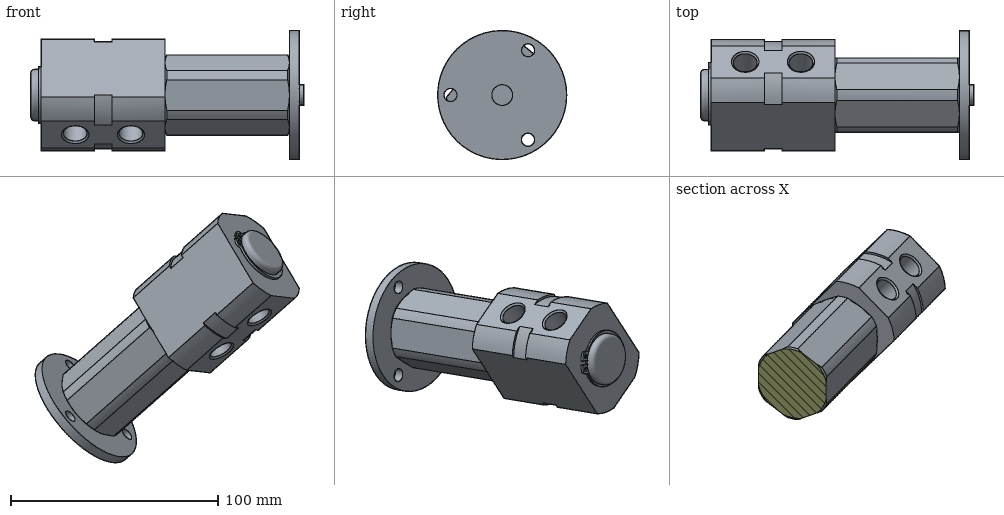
import cadquery as cq
import math


spindle_nose = 5.0
block_length = 59.9
hex_length = 60.0
flange_thickness = 4.9
stub_length = 2.1
block_start = spindle_nose
hex_start = block_start + block_length
flange_start = hex_start + hex_length
stub_start = flange_start + flange_thickness

spindle_diameter = 25.0
nose_fillet = 2.0

ring_thickness = 1.2
ring_bore = 22.8
ring_outer_diameter = 27.6
ring_offset = 0.8
lug_tip_radius = 15.8
lug_half_width = 5.4
lug_corner_radius = 1.7
lug_root_radius = 1.6
lug_gap = 2.0
lug_hole_diameter = 2.0
lug_hole_y = 13.5
lug_hole_z = 3.2
ring_start = block_start - ring_thickness

block_width = 40.0
block_height = 50.0
block_corner_diameter = 54.0
block_tilt = 40
band_width = 8.5
band_diameter = 52.0
port_diameter = 11.5
port_mouth_diameter = 13.2
port_spacing = 26.9
port_mouth_depth = (port_mouth_diameter - port_diameter) / 2
block_middle = block_start + block_length / 2

hex_across_flats = 36.0
hex_corner_diameter = 39.0
hex_sides = 6
hex_half_angle = 180 / hex_sides
hex_chamfer_angle = 30

flange_diameter = 62.5
stub_diameter = 10.0
bolt_circle_radius = 25.0
bolt_hole_diameter = 6.2
bolt_count = 3
first_bolt_angle = 180


def cylinder_x(diameter, start, length):
    """Cylinder on the X axis."""
    return cq.Workplane("YZ", origin=(start, 0, 0)).circle(diameter / 2).extrude(length)


def make_spindle():
    """Round spindle with a rounded nose and a groove for the snap ring."""
    spindle = cylinder_x(spindle_diameter, 0, hex_start).faces("<X").edges().fillet(nose_fillet)
    groove = cylinder_x(spindle_diameter, ring_start, ring_thickness)
    groove = groove.cut(cylinder_x(ring_bore, ring_start, ring_thickness))
    return spindle.cut(groove)


def make_snap_ring():
    """Open eccentric ring with two drilled lugs on the +Y side."""
    plane = cq.Workplane("YZ", origin=(ring_start, 0, 0))
    ring = plane.center(-ring_offset, 0).circle(ring_outer_diameter / 2).extrude(ring_thickness)
    lugs = plane.center(lug_tip_radius / 2, 0).rect(lug_tip_radius, 2 * lug_half_width).extrude(ring_thickness)
    lugs = lugs.intersect(cylinder_x(2 * lug_tip_radius, ring_start, ring_thickness))
    lugs = lugs.edges("|X and (not <Y)").fillet(lug_corner_radius)
    ring = ring.union(lugs)
    root_y = math.sqrt((ring_outer_diameter / 2) ** 2 - lug_half_width**2) - ring_offset
    for z in (lug_half_width, -lug_half_width):
        root = cq.selectors.NearestToPointSelector((ring_start + ring_thickness / 2, root_y, z))
        ring = ring.edges(root).fillet(lug_root_radius)
    gap = plane.center(lug_tip_radius / 2, 0).rect(lug_tip_radius, lug_gap).extrude(ring_thickness)
    lug_holes = (
        plane.pushPoints([(lug_hole_y, lug_hole_z), (lug_hole_y, -lug_hole_z)])
        .circle(lug_hole_diameter / 2)
        .extrude(ring_thickness)
    )
    bore = cylinder_x(ring_bore, ring_start, ring_thickness)
    return ring.cut(bore).cut(gap).cut(lug_holes)


def make_port(x, side):
    """Port cutter from the axis out to the +Z (side 1) or -Z (side -1) face, with a countersunk mouth."""
    face = block_height / 2
    profile = [
        (0, 0),
        (port_diameter / 2, 0),
        (port_diameter / 2, face - port_mouth_depth),
        (port_mouth_diameter / 2, face),
        (0, face),
    ]
    port = cq.Workplane("XZ").polyline(profile).close().revolve(360, (0, 0), (0, 1))
    if side < 0:
        port = port.rotate((0, 0, 0), (1, 0, 0), 180)
    return port.translate((x, 0, 0))


def make_block():
    """Ported block with a spindle bore and a shallow turned band round its corners."""
    block = cq.Workplane("YZ", origin=(block_start, 0, 0)).rect(block_width, block_height).extrude(block_length)
    block = block.intersect(cylinder_x(block_corner_diameter, block_start, block_length))
    band_start = block_middle - band_width / 2
    band = cylinder_x(block_corner_diameter, band_start, band_width)
    band = band.cut(cylinder_x(band_diameter, band_start, band_width))
    block = block.cut(band)
    for x in (block_middle - port_spacing / 2, block_middle + port_spacing / 2):
        for side in (1, -1):
            block = block.cut(make_port(x, side))
    block = block.cut(cylinder_x(spindle_diameter, block_start, block_length))
    return block.rotate((0, 0, 0), (1, 0, 0), -block_tilt)


def make_hex_bar():
    """Hexagonal bar with flats facing +Y and -Y, its corners and ends turned down."""
    corner_radius = hex_corner_diameter / 2
    end_radius = hex_across_flats / 2
    chamfer = (corner_radius - end_radius) * math.tan(math.radians(hex_chamfer_angle))
    across_corners = hex_across_flats / math.cos(math.radians(hex_half_angle))
    bar = cq.Workplane("YZ", origin=(hex_start, 0, 0)).polygon(hex_sides, across_corners).extrude(hex_length)
    bar = bar.rotate((0, 0, 0), (1, 0, 0), hex_half_angle)
    turned_profile = [
        (hex_start, 0),
        (hex_start, end_radius),
        (hex_start + chamfer, corner_radius),
        (flange_start - chamfer, corner_radius),
        (flange_start, end_radius),
        (flange_start, 0),
    ]
    turned = cq.Workplane("XZ").polyline(turned_profile).close().revolve(360, (0, 0), (1, 0))
    return bar.intersect(turned)


def make_flange():
    """Round flange with three bolt holes and a centring stub."""
    flange = cylinder_x(flange_diameter, flange_start, flange_thickness)
    bolt_holes = (
        cq.Workplane("YZ", origin=(flange_start, 0, 0))
        .polarArray(bolt_circle_radius, first_bolt_angle, 360, bolt_count)
        .circle(bolt_hole_diameter / 2)
        .extrude(flange_thickness)
    )
    stub = cylinder_x(stub_diameter, stub_start, stub_length)
    return flange.cut(bolt_holes).union(stub)


spindle = make_spindle()
snap_ring = make_snap_ring()
block = make_block()
hex_bar = make_hex_bar()
flange = make_flange()

result = cq.Compound.makeCompound(
    [spindle.val(), snap_ring.val(), block.val(), hex_bar.val(), flange.val()]
)